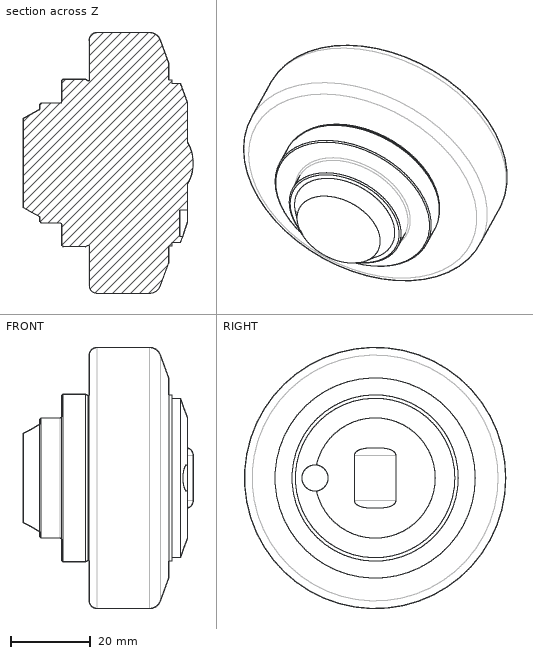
import cadquery as cq
import math

pin_start = 0.0
pin_collar_x = 4.1
flange_x = 9.6
flange_chamfer_x = 15.65
flange_end_x = 16.2
roller_x = 16.5
roller_end_x = 36.5
cap_x = 37.35
cap_edge_x = 39.4
overall_length = 42.65

pin_tip_radius = 11.2
pin_cone_radius = 13.5
collar_bevel_radius = 14.7
collar_radius = 15.05
flange_radius = 21.0
neck_radius = 20.7
roller_radius = 32.75
roller_face_radius = 25.1
shoulder_radius = 20.8
cap_radius = 20.0
cap_face_radius = 15.05

edge_chamfer = 0.3
root_fillet = 0.45
roller_back_fillet = 2.0
roller_front_fillet = 2.95
bevel_angle = math.radians(20)

side_roller_radius = 10.2
side_roller_length = 15.3
side_roller_fillet = 2.0

hole_radius = 3.3
hole_depth = 1.95

cap_face_x = cap_edge_x + (cap_radius - cap_face_radius) * math.tan(bevel_angle)


def arc_point(center_x, center_radius, radius, angle):
    """Profile point on an arc; angle is measured from outward radial toward +X."""
    return (center_x + radius * math.sin(angle), center_radius + radius * math.cos(angle))


def make_body():
    """Revolve pin, flange, main roller and cap around the X axis."""
    back_center = (roller_x + roller_back_fillet, roller_radius - roller_back_fillet)
    back_mid = arc_point(*back_center, roller_back_fillet, -math.pi / 4)

    sweep = math.pi / 2 - bevel_angle
    front_center_radius = roller_radius - roller_front_fillet
    front_end_radius = front_center_radius + roller_front_fillet * math.cos(sweep)
    bevel_length = (front_end_radius - roller_face_radius) * math.tan(bevel_angle)
    front_center_x = roller_end_x - bevel_length - roller_front_fillet * math.sin(sweep)
    front_center = (front_center_x, front_center_radius)
    front_mid = arc_point(*front_center, roller_front_fillet, sweep / 2)
    front_end = arc_point(*front_center, roller_front_fillet, sweep)

    root_center = (flange_x - root_fillet, collar_radius + root_fillet)
    root_mid = arc_point(*root_center, root_fillet, 3 * math.pi / 4)

    profile = (
        cq.Workplane("XY")
        .moveTo(pin_start, 0)
        .lineTo(pin_start, pin_tip_radius)
        .lineTo(pin_collar_x, pin_cone_radius)
        .lineTo(pin_collar_x, collar_bevel_radius)
        .lineTo(pin_collar_x + edge_chamfer, collar_radius)
        .lineTo(flange_x - root_fillet, collar_radius)
        .threePointArc(root_mid, (flange_x, collar_radius + root_fillet))
        .lineTo(flange_x, flange_radius - edge_chamfer)
        .lineTo(flange_x + edge_chamfer, flange_radius)
        .lineTo(flange_chamfer_x, flange_radius)
        .lineTo(flange_end_x, neck_radius)
        .lineTo(roller_x, neck_radius)
        .lineTo(roller_x, roller_radius - roller_back_fillet)
        .threePointArc(back_mid, (roller_x + roller_back_fillet, roller_radius))
        .lineTo(front_center_x, roller_radius)
        .threePointArc(front_mid, front_end)
        .lineTo(roller_end_x, roller_face_radius)
        .lineTo(roller_end_x, shoulder_radius)
        .lineTo(cap_x, shoulder_radius)
        .lineTo(cap_x, cap_radius)
        .lineTo(cap_edge_x, cap_radius)
        .lineTo(cap_face_x, cap_face_radius)
        .lineTo(cap_face_x, 0)
        .close()
    )
    return profile.revolve(360, (0, 0, 0), (1, 0, 0))


def make_side_roller():
    """Cylinder along Z with rounded ends, touching the overall length."""
    return (
        cq.Workplane("XY")
        .center(overall_length - side_roller_radius, 0)
        .circle(side_roller_radius)
        .extrude(side_roller_length / 2, both=True)
        .edges("%CIRCLE")
        .fillet(side_roller_fillet)
    )


def make_spanner_hole():
    """Blind hole along X, centred on the rim of the cap face at -Y."""
    return (
        cq.Workplane("YZ", origin=(cap_face_x, 0, 0))
        .center(-cap_face_radius, 0)
        .circle(hole_radius)
        .extrude(-hole_depth)
    )


result = make_body().union(make_side_roller()).cut(make_spanner_hole())